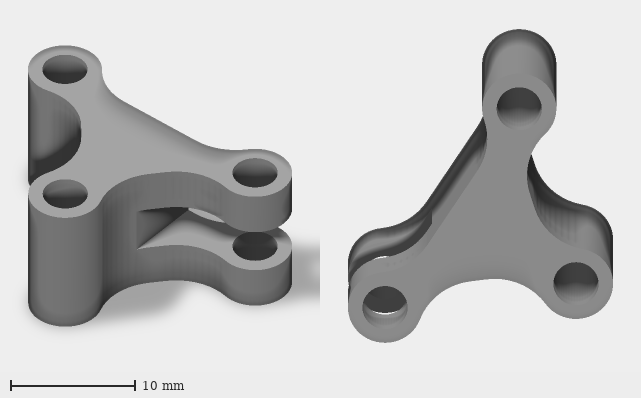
import cadquery as cq
import math

overall_length = 26.0
height = 11.5
boss_radius = 3.0
hole_radius = 1.82
front_boss_distance = 11.85
fillet_radius = 5.0
side_inset = 1.3
rear_inset = 0.0
slot_height = 4.0

boss_offset = overall_length / 2 - boss_radius
front_boss = cq.Vector(0, -front_boss_distance)
right_boss = cq.Vector(boss_offset, 0)
left_boss = cq.Vector(-boss_offset, 0)
bosses = [front_boss, right_boss, left_boss]


def blend_points(boss, fillet_center, side_point):
    """Return the start at the boss and the middle of a concave blend arc."""
    boss_point = boss + (fillet_center - boss).normalized() * boss_radius
    bisector = (boss_point - fillet_center) + (side_point - fillet_center)
    return boss_point, fillet_center + bisector.normalized() * fillet_radius


def add_web_side(outline, start, end, inset):
    """Draw one web side: blend off a boss, straight run, blend onto the next boss."""
    along = (end - start).normalized()
    outward = cq.Vector(along.y, -along.x)
    center_out = fillet_radius - inset
    center_along = math.sqrt((boss_radius + fillet_radius) ** 2 - center_out**2)

    start_foot = start + along * center_along
    end_foot = end - along * center_along
    line_start = start_foot - outward * inset
    line_end = end_foot - outward * inset
    leave, leave_mid = blend_points(start, start_foot + outward * center_out, line_start)
    arrive, arrive_mid = blend_points(end, end_foot + outward * center_out, line_end)

    return (
        outline.lineTo(leave.x, leave.y)
        .threePointArc(leave_mid.toTuple()[:2], line_start.toTuple()[:2])
        .lineTo(line_end.x, line_end.y)
        .threePointArc(arrive_mid.toTuple()[:2], arrive.toTuple()[:2])
        .lineTo(end.x, end.y)
    )


outline = cq.Workplane("XY").moveTo(front_boss.x, front_boss.y)
outline = add_web_side(outline, front_boss, right_boss, side_inset)
outline = add_web_side(outline, right_boss, left_boss, rear_inset)
outline = add_web_side(outline, left_boss, front_boss, side_inset)
body = outline.close().extrude(height)

boss_layout = cq.Workplane("XY").pushPoints(bosses)
body = body.union(boss_layout.circle(boss_radius).extrude(height))
body = body.cut(boss_layout.circle(hole_radius).extrude(height))

slot_start = boss_radius
slot_length = overall_length / 2 - slot_start
slot_width = 2 * (front_boss_distance + boss_radius)
slot = (
    cq.Workplane("XY")
    .box(slot_length, slot_width, slot_height, centered=(False, True, True))
    .translate((slot_start, 0, height / 2))
)

result = body.cut(slot)